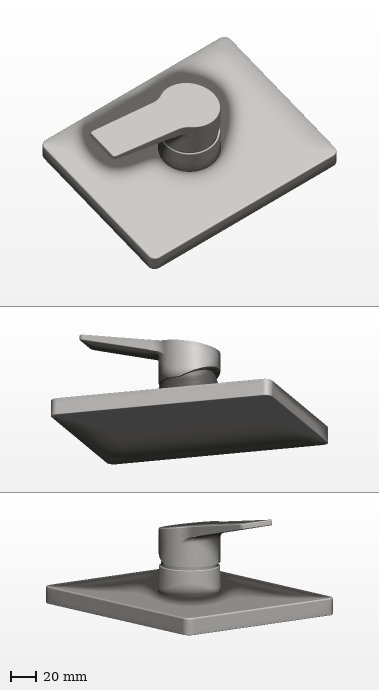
import cadquery as cq
import math

PLATE_WIDTH = 150.0
PLATE_LENGTH = 185.0
PLATE_HEIGHT = 13.9
PLATE_CORNER_RADIUS = 6.3
PLATE_TOP_FILLET = 1.3
PLATE_BOTTOM_FILLET = 0.5

COLLAR_BASE_RADIUS = 25.0
COLLAR_TOP_RADIUS = 24.2
COLLAR_TOP = 35.1
COLLAR_TOP_FILLET = 0.7
NECK_RADIUS = 23.0
NECK_CENTER_Z = 34.0

LEVER_TOP = 82.7
BODY_RADIUS = 24.5
BODY_BOTTOM = 37.7
BODY_REAR_BOTTOM = 48.5
BODY_REAR_TOP = 63.6
LEVER_TIP_Y = -87.0
LEVER_ROOT_Y = -24.0
LEVER_ROOT_HALF_WIDTH = 17.0
LEVER_TIP_HALF_WIDTH = 15.9
LEVER_TIP_THICKNESS = 4.3
LEVER_CORNER_RADIUS = 3.5
UNDERSIDE_SLOPE = 0.245
HANDLE_TOP_FILLET = 1.0
ROOT_FILLET = 3.7
UNDERSIDE_FILLET = 0.7
LEVER_START_Y = -12.2
ROOT_END_Y = -28.7
SLAB_OVERHANG = 9.2

TOP_SLOPE = (LEVER_TOP - BODY_REAR_TOP) / (BODY_RADIUS - LEVER_TIP_Y)
TIP_LEAN = LEVER_TIP_THICKNESS * TOP_SLOPE
LEVER_END_Y = LEVER_TIP_Y - TIP_LEAN
LEVER_END_BOTTOM = LEVER_TOP - LEVER_TIP_THICKNESS


def make_plate():
    plate = cq.Workplane("XY").box(
        PLATE_WIDTH, PLATE_LENGTH, PLATE_HEIGHT, centered=(True, True, False)
    )
    plate = plate.edges("|Z").fillet(PLATE_CORNER_RADIUS)
    plate = plate.faces(">Z").edges().fillet(PLATE_TOP_FILLET)
    return plate.faces("<Z").edges().fillet(PLATE_BOTTOM_FILLET)


def make_collar():
    return (
        cq.Workplane("XZ")
        .moveTo(0, 0.5 * PLATE_HEIGHT)
        .lineTo(COLLAR_BASE_RADIUS, 0.5 * PLATE_HEIGHT)
        .lineTo(COLLAR_BASE_RADIUS, PLATE_HEIGHT)
        .lineTo(COLLAR_TOP_RADIUS, COLLAR_TOP)
        .lineTo(0, COLLAR_TOP)
        .close()
        .revolve(360, (0, 0, 0), (0, 1, 0))
        .faces(">Z")
        .edges()
        .fillet(COLLAR_TOP_FILLET)
    )


def make_neck():
    return cq.Workplane("XY").sphere(NECK_RADIUS).translate((0, 0, NECK_CENTER_Z))


def side_prism(points):
    """Extrude a (Y, Z) outline across the full width of the plate."""
    return cq.Workplane("YZ").polyline(points).close().extrude(PLATE_WIDTH / 2, both=True)


def make_handle_outline():
    """Prism of the handle in plan: concave shoulders join the round body to the lever."""
    shoulder_radius = (LEVER_ROOT_HALF_WIDTH**2 + LEVER_ROOT_Y**2 - BODY_RADIUS**2) / (
        2 * (BODY_RADIUS - LEVER_ROOT_HALF_WIDTH)
    )
    shoulder_x = LEVER_ROOT_HALF_WIDTH + shoulder_radius
    touch_ratio = BODY_RADIUS / (BODY_RADIUS + shoulder_radius)
    touch_x = shoulder_x * touch_ratio
    touch_y = LEVER_ROOT_Y * touch_ratio
    touch_angle = math.atan2(touch_y - LEVER_ROOT_Y, shoulder_x - touch_x)
    mid_x = shoulder_x - shoulder_radius * math.cos(touch_angle / 2)
    mid_y = LEVER_ROOT_Y + shoulder_radius * math.sin(touch_angle / 2)

    outline = (
        cq.Workplane("XY")
        .workplane(offset=BODY_BOTTOM)
        .moveTo(-touch_x, touch_y)
        .threePointArc((-mid_x, mid_y), (-LEVER_ROOT_HALF_WIDTH, LEVER_ROOT_Y))
        .lineTo(-LEVER_TIP_HALF_WIDTH, LEVER_END_Y)
        .lineTo(LEVER_TIP_HALF_WIDTH, LEVER_END_Y)
        .lineTo(LEVER_ROOT_HALF_WIDTH, LEVER_ROOT_Y)
        .threePointArc((mid_x, mid_y), (touch_x, touch_y))
        .threePointArc((0, BODY_RADIUS), (-touch_x, touch_y))
        .close()
        .extrude(LEVER_TOP - BODY_BOTTOM)
    )
    return outline.faces("<Y").edges("|Z").fillet(LEVER_CORNER_RADIUS)


def make_lever(body):
    """Lever on the -Y part of the body, with a rounded root under it."""
    rear_y = BODY_RADIUS + SLAB_OVERHANG
    rear_top = BODY_REAR_TOP - TOP_SLOPE * SLAB_OVERHANG
    rear_underside = LEVER_END_BOTTOM - UNDERSIDE_SLOPE * (rear_y - LEVER_END_Y)
    slab = side_prism([
        (LEVER_END_Y, LEVER_END_BOTTOM),
        (rear_y, rear_underside),
        (rear_y, rear_top),
        (LEVER_TIP_Y, LEVER_TOP),
    ])
    root = body.union(slab).edges("%ELLIPSE").edges("<Z").fillet(ROOT_FILLET)
    outline = make_handle_outline()
    root_zone = cq.Workplane("XY").box(
        PLATE_WIDTH, LEVER_START_Y - ROOT_END_Y, LEVER_TOP, centered=(True, False, False)
    )
    root = root.intersect(outline).intersect(root_zone.translate((0, ROOT_END_Y, 0)))

    underside_normal = cq.Vector(0, -UNDERSIDE_SLOPE, -1)
    lowest_face = cq.selectors.DirectionMinMaxSelector(underside_normal, True)
    blade = slab.intersect(outline).faces(lowest_face).edges().fillet(UNDERSIDE_FILLET)
    blade_zone = cq.Workplane("XY").box(
        PLATE_WIDTH, PLATE_LENGTH, LEVER_TOP, centered=(True, False, False)
    )
    blade = blade.intersect(blade_zone.translate((0, ROOT_END_Y - PLATE_LENGTH, 0)))
    return root.union(blade)


def make_handle():
    body = (
        cq.Workplane("XY")
        .workplane(offset=BODY_BOTTOM)
        .circle(BODY_RADIUS)
        .extrude(LEVER_TOP - BODY_BOTTOM)
    )
    above_top = side_prism([
        (LEVER_TIP_Y, LEVER_TOP),
        (BODY_RADIUS, BODY_REAR_TOP),
        (BODY_RADIUS, LEVER_TOP),
    ])
    body = body.cut(above_top)
    handle = body.union(make_lever(body)).clean()

    tilt_clearance = side_prism([
        (0, BODY_BOTTOM),
        (BODY_RADIUS, BODY_REAR_BOTTOM),
        (BODY_RADIUS, BODY_BOTTOM),
    ])
    handle = handle.cut(tilt_clearance)
    top_normal = cq.Vector(0, TOP_SLOPE, 1)
    top_face = handle.faces(cq.selectors.DirectionMinMaxSelector(top_normal, True))
    return top_face.edges().fillet(HANDLE_TOP_FILLET)


result = make_plate().union(make_collar()).union(make_neck()).union(make_handle())